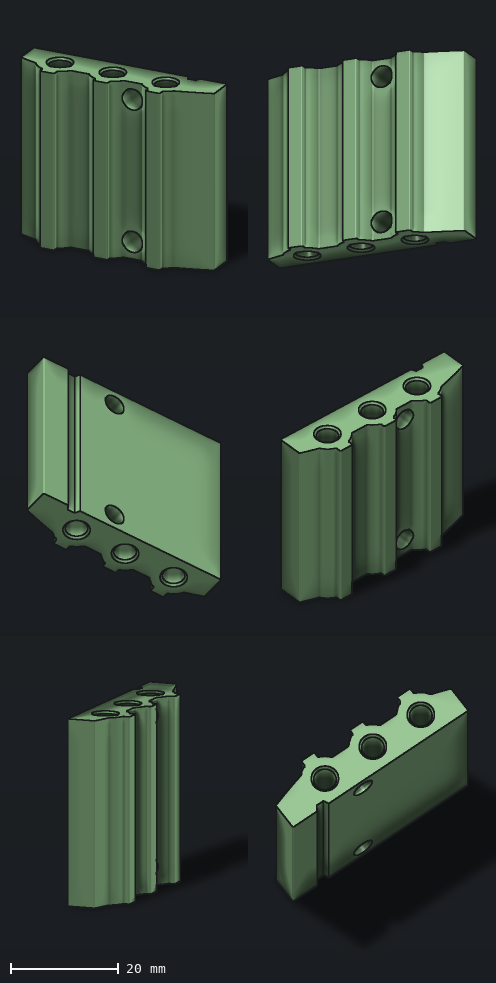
import cadquery as cq
import math

WIDTH = 40.3
DEPTH = 10.0
LENGTH = 35.5
SIDE_DEPTH = 5.5
BASE_DEPTH = 7.25

HOLE_DIAMETER = 4.2
HOLE_MOUTH_DIAMETER = 5.08
FIRST_HOLE_X = 7.7
HOLE_COUNT = 3
HOLE_PITCH = 11.0
HOLE_DEPTH = 4.5
HOLE_XS = [FIRST_HOLE_X + i * HOLE_PITCH for i in range(HOLE_COUNT)]
RIB_RADIUS = 4.5
TONGUE_WIDTH = 3.02
MIDDLE_TONGUE_DEPTH = 9.75
TONGUE_DEPTHS = [DEPTH, MIDDLE_TONGUE_DEPTH, DEPTH]

LEFT_FLANK_END = 3.8
RIGHT_FLANK_END = 32.93
LEFT_FLANK_RADIUS = 50.38
RIGHT_FLANK_RADIUS = 100.75

CROSS_HOLE_DIAMETER = 4.2
CROSS_HOLE_X = (HOLE_XS[1] + HOLE_XS[2]) / 2
CROSS_HOLE_END_OFFSET = 3.45

GROOVE_X = 33.35
GROOVE_MOUTH = 2.65
GROOVE_FLOOR = 1.57
GROOVE_DEPTH = 1.0

OUTER_ROUND = 0.3
TONGUE_ROOT_ROUND = 0.3
RIB_ROOT_ROUND = 0.35
FLANK_ROOT_ROUND = 0.4


def rib_y(x, hole_x):
    """Y on the rib surface at the given X."""
    return -HOLE_DEPTH - math.sqrt(RIB_RADIUS ** 2 - (x - hole_x) ** 2)


def rib_x_offset(depth):
    """Distance from the rib axis to the rib surface at the given depth."""
    return math.sqrt(RIB_RADIUS ** 2 - (depth - HOLE_DEPTH) ** 2)


def make_body():
    left_end = (LEFT_FLANK_END, rib_y(LEFT_FLANK_END, HOLE_XS[0]))
    right_end = (RIGHT_FLANK_END, rib_y(RIGHT_FLANK_END, HOLE_XS[2]))
    body = (
        cq.Workplane("XY")
        .moveTo(0, 0)
        .lineTo(0, -SIDE_DEPTH)
        .radiusArc(left_end, -LEFT_FLANK_RADIUS)
        .lineTo(HOLE_XS[0], -BASE_DEPTH)
        .lineTo(HOLE_XS[2], -BASE_DEPTH)
        .lineTo(*right_end)
        .radiusArc((WIDTH, -SIDE_DEPTH), -RIGHT_FLANK_RADIUS)
        .lineTo(WIDTH, 0)
        .close()
        .extrude(LENGTH)
    )
    for x, depth in zip(HOLE_XS, TONGUE_DEPTHS):
        rib = cq.Workplane("XY").center(x, -HOLE_DEPTH).circle(RIB_RADIUS).extrude(LENGTH)
        tongue_height = depth - HOLE_DEPTH
        tongue = (
            cq.Workplane("XY")
            .center(x, -HOLE_DEPTH - tongue_height / 2)
            .rect(TONGUE_WIDTH, tongue_height)
            .extrude(LENGTH)
        )
        body = body.union(rib).union(tongue)
    return body.clean()


def round_edges(body, points, radius):
    """Round the lengthwise edges that pass through the given XY points."""
    reach = 0.02
    chosen = [
        edge
        for edge in body.edges("|Z").vals()
        if any(math.dist((edge.Center().x, edge.Center().y), p) < reach for p in points)
    ]
    return body.newObject(chosen).fillet(radius)


def round_profile(body):
    half = TONGUE_WIDTH / 2
    outer = [(0, 0), (WIDTH, 0), (0, -SIDE_DEPTH), (WIDTH, -SIDE_DEPTH)]
    tongue_roots = []
    for x, depth in zip(HOLE_XS, TONGUE_DEPTHS):
        for side in (x - half, x + half):
            outer.append((side, -depth))
            tongue_roots.append((side, rib_y(side, x)))
    offset = rib_x_offset(BASE_DEPTH)
    rib_roots = []
    for left, right in zip(HOLE_XS, HOLE_XS[1:]):
        rib_roots += [(left + offset, -BASE_DEPTH), (right - offset, -BASE_DEPTH)]
    flank_roots = [
        (LEFT_FLANK_END, rib_y(LEFT_FLANK_END, HOLE_XS[0])),
        (RIGHT_FLANK_END, rib_y(RIGHT_FLANK_END, HOLE_XS[2])),
    ]
    body = round_edges(body, outer, OUTER_ROUND)
    body = round_edges(body, tongue_roots, TONGUE_ROOT_ROUND)
    body = round_edges(body, rib_roots, RIB_ROOT_ROUND)
    return round_edges(body, flank_roots, FLANK_ROOT_ROUND)


def make_groove():
    return (
        cq.Workplane("XY")
        .polyline([
            (GROOVE_X - GROOVE_MOUTH / 2, 0),
            (GROOVE_X - GROOVE_FLOOR / 2, -GROOVE_DEPTH),
            (GROOVE_X + GROOVE_FLOOR / 2, -GROOVE_DEPTH),
            (GROOVE_X + GROOVE_MOUTH / 2, 0),
        ])
        .close()
        .extrude(LENGTH)
    )


def make_lengthwise_hole(x):
    """Through hole with a 45 degree countersink at both ends, as a revolved solid."""
    radius = HOLE_DIAMETER / 2
    mouth = HOLE_MOUTH_DIAMETER / 2
    sink = mouth - radius
    return (
        cq.Workplane("XZ")
        .polyline([
            (0, 0),
            (mouth, 0),
            (radius, sink),
            (radius, LENGTH - sink),
            (mouth, LENGTH),
            (0, LENGTH),
        ])
        .close()
        .revolve(360, (0, 0, 0), (0, 1, 0))
        .translate((x, -HOLE_DEPTH, 0))
    )


def make_cross_hole(z):
    return (
        cq.Workplane("XZ")
        .center(CROSS_HOLE_X, z)
        .circle(CROSS_HOLE_DIAMETER / 2)
        .extrude(DEPTH)
    )


result = round_profile(make_body()).cut(make_groove())
for hole_x in HOLE_XS:
    result = result.cut(make_lengthwise_hole(hole_x))
for hole_z in (CROSS_HOLE_END_OFFSET, LENGTH - CROSS_HOLE_END_OFFSET):
    result = result.cut(make_cross_hole(hole_z))